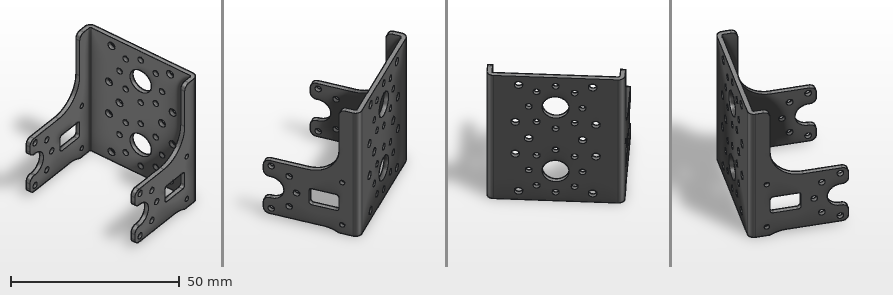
import cadquery as cq
import math

WIDTH = 41.0
DEPTH = 30.5
HEIGHT = 46.5
THICKNESS = 1.5
BEND_INNER_RADIUS = 0.5
BEND_OUTER_RADIUS = BEND_INNER_RADIUS + THICKNESS

OPENING_DIAMETER = 8.0
RING_RADIUS = 8.0
RING_HOLE_DIAMETER = 2.0
RING_STEP = 45
FULL_RING_COUNT = 360 // RING_STEP
HALF_RING_COUNT = 180 // RING_STEP + 1
PATTERN_OFFSET = 12.0
LOWER_PATTERN_Z = HEIGHT / 2 - PATTERN_OFFSET
UPPER_PATTERN_Z = HEIGHT / 2 + PATTERN_OFFSET

MOUNT_HOLE_DIAMETER = 2.5
CORNER_HOLE_X = 11.0
CORNER_HOLE_Z = 20.0
SIDE_HOLE_X = 12.0
SIDE_HOLE_Z = 6.0
MIDDLE_HOLE_X = 8.0

STRIP_DEPTH = 6.5
ARM_HEIGHT = 20.0
ARM_BOTTOM = LOWER_PATTERN_Z - ARM_HEIGHT / 2
ARM_TOP = LOWER_PATTERN_Z + ARM_HEIGHT / 2
BLEND_RADIUS = 10.0
CORNER_RADIUS = 2.0
ARM_PATTERN_DEPTH = 28.0

PIN_HOLE_DIAMETER = 1.6
PIN_HOLE_DEPTH = 5.5
PIN_HOLE_OFFSET = 8.0
WINDOW_LENGTH = 9.5
WINDOW_HEIGHT = 6.0
WINDOW_RADIUS = 0.98


def channel():
    """Sheet bent into a U, open towards -Y, at full height; its legs run past the final depth."""
    outer = cq.Workplane("XY").rect(WIDTH, 2 * DEPTH).extrude(HEIGHT)
    outer = outer.edges("|Z and >Y").fillet(BEND_OUTER_RADIUS)
    inner = cq.Workplane("XY").rect(WIDTH - 2 * THICKNESS, 2 * DEPTH).extrude(HEIGHT)
    inner = inner.edges("|Z and >Y").fillet(BEND_INNER_RADIUS)
    return outer.cut(inner.translate((0, -THICKNESS, 0))).translate((0, -DEPTH, 0))


def flange_plane():
    """YZ sketch plane on the -X side; its normal points to +X."""
    return cq.Workplane("YZ", origin=(-WIDTH / 2, 0, 0))


def flange_profile():
    """Side outline of the bracket, extruded across the whole width."""
    blend_rise = BLEND_RADIUS - ARM_BOTTOM
    lower_blend_depth = STRIP_DEPTH + math.sqrt(BLEND_RADIUS**2 - blend_rise**2)
    half_angle = math.acos(blend_rise / BLEND_RADIUS) / 2
    lower_blend_middle = (
        -lower_blend_depth + BLEND_RADIUS * math.sin(half_angle),
        ARM_BOTTOM - BLEND_RADIUS * (1 - math.cos(half_angle)),
    )

    body = (
        flange_plane()
        .moveTo(0, 0)
        .lineTo(0, HEIGHT)
        .lineTo(-STRIP_DEPTH, HEIGHT)
        .lineTo(-STRIP_DEPTH, ARM_TOP + BLEND_RADIUS)
        .radiusArc((-STRIP_DEPTH - BLEND_RADIUS, ARM_TOP), BLEND_RADIUS)
        .lineTo(-DEPTH, ARM_TOP)
        .lineTo(-DEPTH, ARM_BOTTOM)
        .lineTo(-lower_blend_depth, ARM_BOTTOM)
        .threePointArc(lower_blend_middle, (-STRIP_DEPTH, 0))
        .close()
        .extrude(WIDTH)
    )

    slot_radius = OPENING_DIAMETER / 2
    slot = (
        flange_plane()
        .center(-ARM_PATTERN_DEPTH - slot_radius, LOWER_PATTERN_Z)
        .slot2D(2 * OPENING_DIAMETER, OPENING_DIAMETER)
        .extrude(WIDTH)
    )
    body = body.cut(slot).edges("|X and <Y").fillet(CORNER_RADIUS)
    strip_corner = cq.selectors.NearestToPointSelector((0, -STRIP_DEPTH, HEIGHT))
    return body.edges("|X").edges(strip_corner).fillet(CORNER_RADIUS)


def plate_holes(points, diameter):
    """Cutters through the back plate at (X, Z) points."""
    return cq.Workplane("XZ").pushPoints(points).circle(diameter / 2).extrude(2 * THICKNESS)


def ring_points(center, first_angle, count):
    """Points on the screw ring, spaced one angular step apart from the first angle."""
    center_u, center_v = center
    angles = [math.radians(first_angle + RING_STEP * i) for i in range(count)]
    return [(center_u + RING_RADIUS * math.cos(a), center_v + RING_RADIUS * math.sin(a)) for a in angles]


def back_plate_cutters():
    """Two screw patterns and the mirrored mounting holes."""
    pattern_centers = [(0, LOWER_PATTERN_Z), (0, UPPER_PATTERN_Z)]
    cutters = plate_holes(pattern_centers, OPENING_DIAMETER)
    for center in pattern_centers:
        cutters = cutters.add(plate_holes(ring_points(center, 0, FULL_RING_COUNT), RING_HOLE_DIAMETER))

    middle = HEIGHT / 2
    mount_points = []
    for side in (-1, 1):
        mount_points.append((side * MIDDLE_HOLE_X, middle))
        for level in (-1, 1):
            mount_points.append((side * CORNER_HOLE_X, middle + level * CORNER_HOLE_Z))
            mount_points.append((side * SIDE_HOLE_X, middle + level * SIDE_HOLE_Z))
    return cutters.add(plate_holes(mount_points, MOUNT_HOLE_DIAMETER)).combine()


def flange_cutters():
    """Half screw ring, pin holes and window, all through both flanges."""
    screw_points = ring_points((-ARM_PATTERN_DEPTH, LOWER_PATTERN_Z), -90, HALF_RING_COUNT)
    screws = flange_plane().pushPoints(screw_points).circle(RING_HOLE_DIAMETER / 2).extrude(WIDTH)

    pin_points = [(-PIN_HOLE_DEPTH, LOWER_PATTERN_Z + s * PIN_HOLE_OFFSET) for s in (-1, 1)]
    pins = flange_plane().pushPoints(pin_points).circle(PIN_HOLE_DIAMETER / 2).extrude(WIDTH)

    window = (
        flange_plane()
        .center(-STRIP_DEPTH - WINDOW_LENGTH / 2, LOWER_PATTERN_Z)
        .rect(WINDOW_LENGTH, WINDOW_HEIGHT)
        .extrude(WIDTH)
        .edges("|X")
        .fillet(WINDOW_RADIUS)
    )
    return screws.add(pins).add(window).combine()


bracket = channel().intersect(flange_profile())
result = bracket.cut(back_plate_cutters()).cut(flange_cutters())